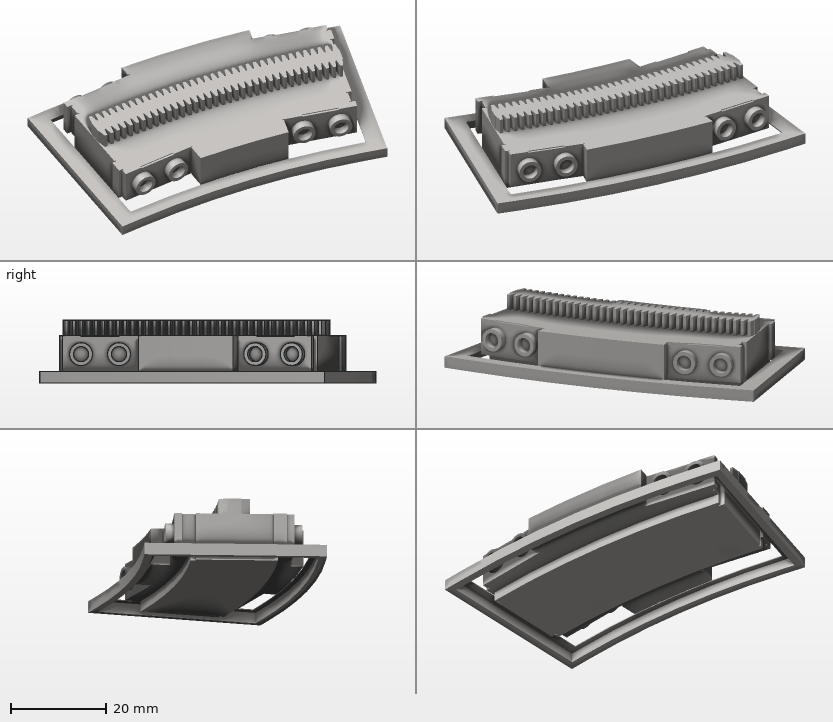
import cadquery as cq
import math

BEND_RADIUS = 199.4
BEND_ANGLE = 16.25

FRAME_HEIGHT = 2.5
LIP_THICKNESS = 0.2
LIP_BOTTOM = FRAME_HEIGHT - LIP_THICKNESS
DECK_BOTTOM = 2.2
DECK_TOP = 9.95
RACK_TOP = 13.2

FRAME_HALF_WIDTH = 19.2
FRAME_SIDE_WALL = 3.0
FRAME_END_REACH = 4.8
FRAME_END_WALL = 3.8
SKIRT_WALL = 1.7

DECK_HALF_WIDTH = 15.95
BASE_HALF_WIDTH = 9.2
END_HALF_WIDTH = 12.65
SHOULDER_DISTANCE = 15.95

JOINT_OFFSET = 9.6
SLOT_WIDTH = 3.0
SLOT_DEPTH = 0.85
TAB_WIDTH = 2.75
TAB_LENGTH = 0.65
RELIEF_WIDTH = 0.2
RELIEF_DEPTH = 0.35

PIN_DIAMETER = 4.8
PIN_BORE = 3.2
PIN_LENGTH = 1.8
PIN_HEIGHT = 6.1
FIRST_PIN = 3.9
PIN_SPACING = 8.0
EDGE_NOTCH_WIDTH = 0.4
EDGE_NOTCH_DEPTH = 0.2

TEETH = 36
TIP_HALF_WIDTH = 3.3
ROOT_HALF_WIDTH = 1.5
TIP_SHARE = 0.4
ROOT_SHARE = 0.15
RACK_INSET = 0.1

SIDES = (-1, 1)
CUT_MARGIN = 7.05


def bend_point(offset, angle, reach=0.0):
    """Point at a sideways offset (+ toward the bend centre), `reach` further along the tangent."""
    turn = math.radians(angle)
    radius = BEND_RADIUS - offset
    x = BEND_RADIUS - radius * math.cos(turn) + reach * math.sin(turn)
    y = radius * math.sin(turn) + reach * math.cos(turn)
    return x, y


def curved_band(half_width, bottom, top, reach=0.0):
    """Bent strip with radial ends, optionally lengthened by straight runs of length `reach`."""
    outline = cq.Workplane("XY").workplane(offset=bottom).moveTo(*bend_point(-half_width, 0))
    outline = outline.threePointArc(
        bend_point(-half_width, BEND_ANGLE / 2), bend_point(-half_width, BEND_ANGLE)
    )
    if reach:
        outline = outline.lineTo(*bend_point(-half_width, BEND_ANGLE, reach))
        outline = outline.lineTo(*bend_point(half_width, BEND_ANGLE, reach))
    outline = outline.lineTo(*bend_point(half_width, BEND_ANGLE))
    outline = outline.threePointArc(bend_point(half_width, BEND_ANGLE / 2), bend_point(half_width, 0))
    if reach:
        outline = outline.lineTo(*bend_point(half_width, 0, -reach))
        outline = outline.lineTo(*bend_point(-half_width, 0, -reach))
    return outline.close().extrude(top - bottom)


def block(x_range, y_range, z_range):
    """Box given by its limits along each axis."""
    (x0, x1), (y0, y1), (z0, z1) = (sorted(limits) for limits in (x_range, y_range, z_range))
    return cq.Workplane("XY").box(x1 - x0, y1 - y0, z1 - z0, centered=False).translate((x0, y0, z0))


def at_far_end(shape):
    """Copy of a near-end feature, turned half round and carried to the far end of the bend."""
    turned = shape.rotate((0, 0, 0), (0, 0, 1), 180)
    return turned.rotate((BEND_RADIUS, 0, 0), (BEND_RADIUS, 0, 1), -BEND_ANGLE)


def make_frame():
    outer = curved_band(FRAME_HALF_WIDTH, 0, FRAME_HEIGHT, FRAME_END_REACH)
    opening = curved_band(
        FRAME_HALF_WIDTH - FRAME_SIDE_WALL, 0, FRAME_HEIGHT, FRAME_END_REACH - FRAME_END_WALL
    )
    below_lip = curved_band(FRAME_HALF_WIDTH - SKIRT_WALL, 0, LIP_BOTTOM, FRAME_END_REACH - SKIRT_WALL)
    return outer.cut(opening).cut(below_lip)


def end_cuts():
    """Everything removed at the near end: side steps, slot, corner reliefs and edge notches."""
    full_height = (0, DECK_TOP)
    slot_left = -JOINT_OFFSET - SLOT_WIDTH / 2
    slot_right = slot_left + SLOT_WIDTH
    slot_end = SLOT_DEPTH + RELIEF_DEPTH
    tab_left = JOINT_OFFSET - TAB_WIDTH / 2
    tab_right = tab_left + TAB_WIDTH
    cuts = [
        block((slot_left, slot_right), (-CUT_MARGIN, SLOT_DEPTH), full_height),
        block((slot_left, slot_left + RELIEF_WIDTH), (0, slot_end), full_height),
        block((slot_right - RELIEF_WIDTH, slot_right), (0, slot_end), full_height),
        block((tab_left - RELIEF_WIDTH, tab_left), (0, RELIEF_DEPTH), full_height),
        block((tab_right, tab_right + RELIEF_WIDTH), (0, RELIEF_DEPTH), full_height),
    ]
    shoulder_relief_end = SHOULDER_DISTANCE + RELIEF_DEPTH
    for side in SIDES:
        wall = side * END_HALF_WIDTH
        outside = side * (DECK_HALF_WIDTH + CUT_MARGIN)
        relief = wall + side * RELIEF_WIDTH
        notch = wall - side * EDGE_NOTCH_WIDTH
        cuts += [
            block((wall, outside), (-CUT_MARGIN, SHOULDER_DISTANCE), full_height),
            block((wall, relief), (0, shoulder_relief_end), full_height),
            block(
                (wall, notch),
                (FIRST_PIN, FIRST_PIN + PIN_SPACING),
                (DECK_TOP - EDGE_NOTCH_DEPTH, DECK_TOP),
            ),
        ]
    return cuts


def side_pin(side, distance):
    """Tube standing out of a narrow end's side wall."""
    tube = cq.Workplane("YZ").circle(PIN_DIAMETER / 2).circle(PIN_BORE / 2).extrude(side * PIN_LENGTH)
    return tube.translate((side * END_HALF_WIDTH, distance, PIN_HEIGHT))


def end_additions():
    """Everything added at the near end: the tab and the side pins."""
    tab_left = JOINT_OFFSET - TAB_WIDTH / 2
    tab_right = tab_left + TAB_WIDTH
    additions = [block((tab_left, tab_right), (-TAB_LENGTH, SLOT_DEPTH), (DECK_BOTTOM, DECK_TOP))]
    for side in SIDES:
        for distance in (FIRST_PIN, FIRST_PIN + PIN_SPACING):
            additions.append(side_pin(side, distance))
    return additions


def rack_flank_points(side):
    """Toothed edge from the near end to the far end: four corners per tooth."""
    start = math.degrees(RACK_INSET / BEND_RADIUS)
    end = BEND_ANGLE - start
    pitch = (end - start) / TEETH
    half_tip = TIP_SHARE / 2
    half_root = ROOT_SHARE / 2
    profile = (
        (half_root, ROOT_HALF_WIDTH),
        (0.5 - half_tip, TIP_HALF_WIDTH),
        (0.5 + half_tip, TIP_HALF_WIDTH),
        (1 - half_root, ROOT_HALF_WIDTH),
    )
    points = [bend_point(side * ROOT_HALF_WIDTH, start)]
    for tooth in range(TEETH):
        for place, half_width in profile:
            points.append(bend_point(side * half_width, start + (tooth + place) * pitch))
    points.append(bend_point(side * ROOT_HALF_WIDTH, end))
    return points


def make_rack():
    outline = rack_flank_points(-1) + rack_flank_points(1)[::-1]
    base = cq.Workplane("XY").workplane(offset=DECK_TOP)
    return base.polyline(outline).close().extrude(RACK_TOP - DECK_TOP)


def make_brick():
    brick = curved_band(DECK_HALF_WIDTH, DECK_BOTTOM, DECK_TOP)
    brick = brick.union(curved_band(BASE_HALF_WIDTH, 0, DECK_TOP))
    for cut in end_cuts():
        brick = brick.cut(cut).cut(at_far_end(cut))
    for addition in end_additions():
        brick = brick.union(addition).union(at_far_end(addition))
    return brick.union(make_rack())


frame = make_frame()
brick = make_brick()
result = cq.Compound.makeCompound([frame.val(), brick.val()])